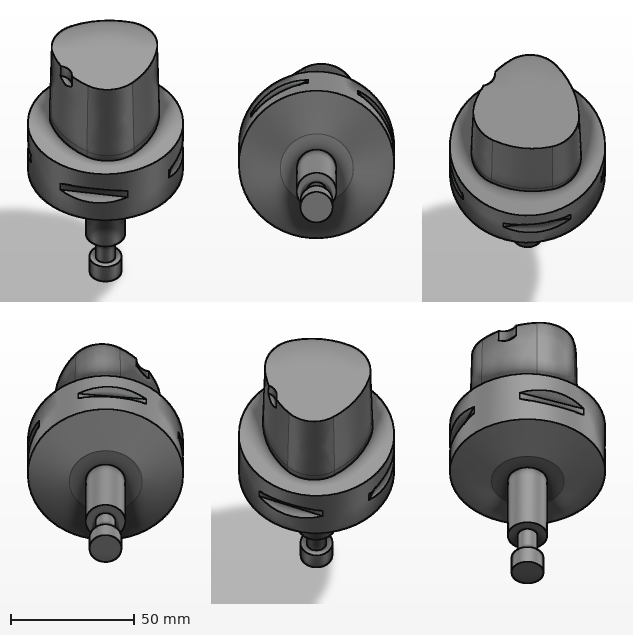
import cadquery as cq
import math

head_top = 8.0
neck_top = 20.4
cone_bottom = 50.6
collar_bottom = 55.6
collar_top = 80.6
taper_start = 83.5
total_height = 118.5

head_radius = 13.0 / 2
neck_radius = 8.0 / 2
shank_radius = 16.0 / 2
cone_small_radius = 14.8
collar_radius = 63.0 / 2

lobe_reach = 23.5
flank_reach = 20.5
lobe_center_offset = 8.5
taper_inset = 0.8

notch_radius = 5.9
notch_depth = 1.7
notch_floor = 113.2

slot_count = 4
slot_z = 68.6
slot_floor_height = 3.3
slot_mouth_height = 7.7
slot_depth = 3.2
slot_clearance = 1.2


def polar(radius, degrees):
    angle = math.radians(degrees)
    return radius * math.cos(angle), radius * math.sin(angle)


def lobed_wire(inset, z):
    """Closed three-lobed outline at height z, offset inward by inset."""
    reach_gap = lobe_reach - flank_reach
    flank_center_offset = (
        reach_gap * (2 * lobe_center_offset - reach_gap) / (lobe_center_offset - 2 * reach_gap)
    )
    lobe_radius = lobe_reach - lobe_center_offset - inset
    half_angle = math.radians(60)
    across = flank_center_offset * math.sin(half_angle)
    along = lobe_center_offset + flank_center_offset * math.cos(half_angle)
    lobe_half_angle = math.atan2(across, along)
    joint_along = lobe_center_offset + lobe_radius * math.cos(lobe_half_angle)
    joint_across = lobe_radius * math.sin(lobe_half_angle)
    joint_distance = math.hypot(joint_along, joint_across)
    joint_angle = math.degrees(math.atan2(joint_across, joint_along))

    outline = cq.Workplane("XY").workplane(offset=z).moveTo(*polar(joint_distance, 90 - joint_angle))
    for lobe_direction in (90, 210, 330):
        outline = outline.threePointArc(
            polar(lobe_reach - inset, lobe_direction),
            polar(joint_distance, lobe_direction + joint_angle),
        ).threePointArc(
            polar(flank_reach - inset, lobe_direction + 60),
            polar(joint_distance, lobe_direction + 120 - joint_angle),
        )
    return outline.close().wire().val()


def turned_body():
    """Collar with conical underside, shank, neck and head."""
    profile = [
        (0, 0),
        (head_radius, 0),
        (head_radius, head_top),
        (neck_radius, head_top),
        (neck_radius, neck_top),
        (shank_radius, neck_top),
        (shank_radius, cone_bottom),
        (cone_small_radius, cone_bottom),
        (collar_radius, collar_bottom),
        (collar_radius, collar_top),
        (0, collar_top),
    ]
    return cq.Workplane("XZ").polyline(profile).close().revolve(360, (0, 0), (0, 1))


def polygon_shank():
    """Straight base followed by the tapered length."""
    base = lobed_wire(0, collar_top)
    middle = lobed_wire(0, taper_start)
    top = lobed_wire(taper_inset, total_height)
    straight = cq.Solid.makeLoft([base, middle], True)
    tapered = cq.Solid.makeLoft([middle, top], True)
    return cq.Workplane(straight).union(cq.Workplane(tapered))


def key_notch():
    """Vertical round cutter with a 90 degree point."""
    center_y = -(flank_reach - taper_inset - notch_depth + notch_radius)
    profile = [
        (0, notch_floor - notch_radius),
        (notch_radius, notch_floor),
        (notch_radius, total_height),
        (0, total_height),
    ]
    cutter = cq.Workplane("XZ").polyline(profile).close().revolve(360, (0, 0), (0, 1))
    return cutter.translate((0, center_y, 0))


def gripper_slot(direction):
    """Straight slot with sloping walls, cut square to the given direction."""
    floor_x = collar_radius - slot_depth
    outer_x = collar_radius + slot_clearance
    wall_slope = (slot_mouth_height - slot_floor_height) / 2 / slot_depth
    floor_half = slot_floor_height / 2
    outer_half = floor_half + wall_slope * (outer_x - floor_x)
    profile = [
        (floor_x, slot_z - floor_half),
        (outer_x, slot_z - outer_half),
        (outer_x, slot_z + outer_half),
        (floor_x, slot_z + floor_half),
    ]
    cutter = cq.Workplane("XZ").polyline(profile).close().extrude(collar_radius, both=True)
    return cutter.rotate((0, 0, 0), (0, 0, 1), direction)


result = turned_body().union(polygon_shank()).cut(key_notch())
for index in range(slot_count):
    result = result.cut(gripper_slot(45 + index * 360 / slot_count))